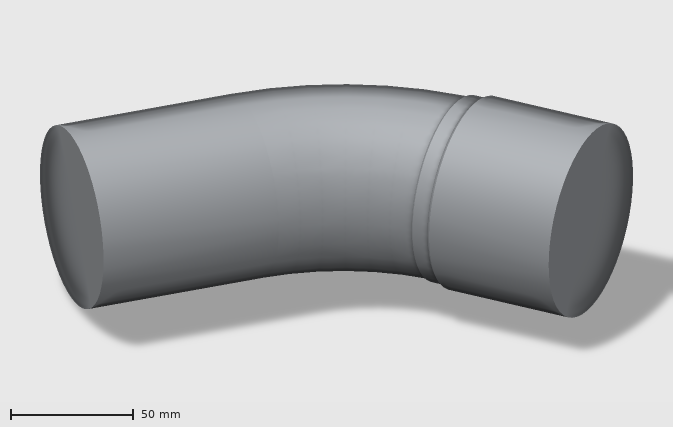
import cadquery as cq
import math

pipe_diameter = 76.0
inlet_length = 75.8
bend_radius = 114.5
bend_angle = 45

collar_diameter = 78.0
collar_length = 7.7
socket_diameter = 81.0
socket_length = 55.2
outlet_length = 58.0

pipe_radius = pipe_diameter / 2
collar_radius = collar_diameter / 2
socket_radius = socket_diameter / 2
collar_taper_length = collar_radius - pipe_radius
socket_taper_length = socket_radius - collar_radius

angle = math.radians(bend_angle)
bend_end = cq.Vector(
    bend_radius * (1 - math.cos(angle)),
    inlet_length + bend_radius * math.sin(angle),
    0,
)
outlet_direction = cq.Vector(math.sin(angle), math.cos(angle), 0)

inlet = cq.Workplane("XZ").circle(pipe_radius).extrude(-inlet_length)

bend = (
    cq.Workplane("XZ", origin=(0, inlet_length, 0))
    .circle(pipe_radius)
    .revolve(bend_angle, (bend_radius, 2.3, 0), (bend_radius, 0, 0))
)

socket_start = outlet_length - socket_length
collar_start = socket_start - collar_length
outlet_profile = [
    (0, collar_start),
    (pipe_radius, collar_start),
    (collar_radius, collar_start + collar_taper_length),
    (collar_radius, socket_start),
    (socket_radius, socket_start + socket_taper_length),
    (socket_radius, outlet_length),
    (0, outlet_length),
]
across_outlet = outlet_direction.cross(cq.Vector(0, 0, 1))
outlet_plane = cq.Plane(origin=bend_end, xDir=across_outlet, normal=(0, 0, 1))
outlet = (
    cq.Workplane(outlet_plane)
    .polyline(outlet_profile)
    .close()
    .revolve(360, (0, 0, 0), (0, 1, 0))
)

result = inlet.union(bend).union(outlet)